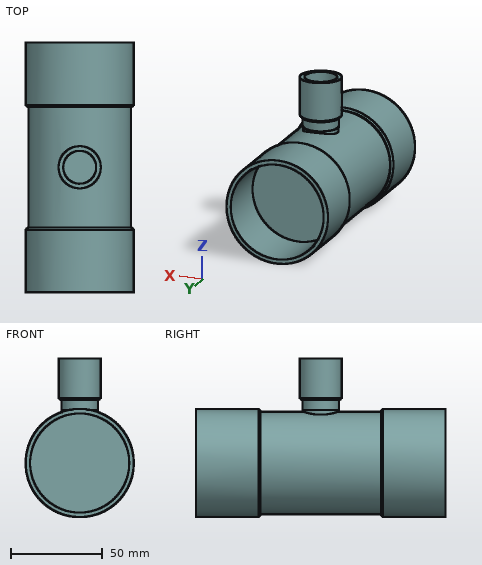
import cadquery as cq

total_length = 136.0
pipe_diameter = 56.0
hub_diameter = 59.0
hub_bore = 54.0
hub_length = 35.2
hub_socket_depth = 34.0
hub_chamfer = 1.2

overall_height = 86.5
branch_top = overall_height - hub_diameter / 2
stub_diameter = 19.5
neck_diameter = 20.0
neck_bottom = 29.0
collar_diameter = 23.0
collar_bottom = 34.3
collar_chamfer = 1.2
branch_bore = 18.0
branch_socket_depth = branch_top - collar_bottom


def cylinder_y(diameter, start, length):
    """Cylinder on the Y axis, running towards +Y from start."""
    plane = cq.Plane(origin=(0, start, 0), xDir=(1, 0, 0), normal=(0, 1, 0))
    return cq.Workplane(plane).circle(diameter / 2).extrude(length)


def cylinder_z(diameter, bottom, top):
    """Cylinder on the Z axis between two heights."""
    return cq.Workplane("XY").workplane(offset=bottom).circle(diameter / 2).extrude(top - bottom)


def make_pipe():
    """Solid pipe with a hub on each end, chamfered on the inner side."""
    body = cylinder_y(pipe_diameter, -total_length / 2, total_length)
    front_hub = cylinder_y(hub_diameter, -total_length / 2, hub_length).edges(">Y").chamfer(hub_chamfer)
    return body.union(front_hub).union(front_hub.mirror("XZ"))


def make_branch():
    """Stub, neck and collar, with a chamfer under the collar."""
    stub = cylinder_z(stub_diameter, 0, neck_bottom)
    neck = cylinder_z(neck_diameter, neck_bottom, collar_bottom)
    collar = cylinder_z(collar_diameter, collar_bottom, branch_top).edges("<Z").chamfer(collar_chamfer)
    return stub.union(neck).union(collar)


def make_sockets():
    """Blind bores in both hubs and in the branch collar."""
    front_socket = cylinder_y(hub_bore, -total_length / 2, hub_socket_depth)
    branch_socket = cylinder_z(branch_bore, branch_top - branch_socket_depth, branch_top)
    return front_socket.union(front_socket.mirror("XZ")).union(branch_socket)


result = make_pipe().union(make_branch()).cut(make_sockets())